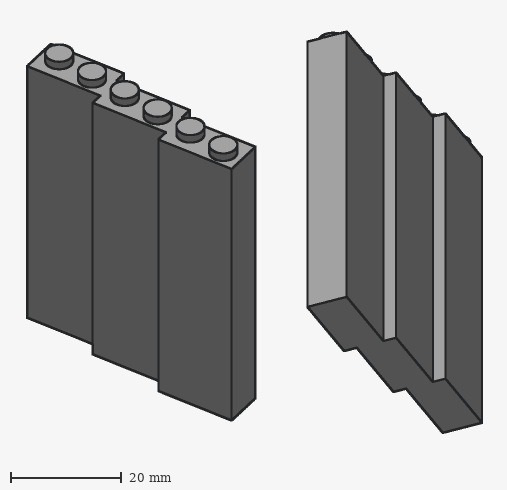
import cadquery as cq

total_height = 59.3
stud_height = 1.7
body_height = total_height - stud_height

block_count = 3
block_length = 15.85
block_thickness = 7.8
block_angle = 9.0
stud_pitch = 8.0
studs_per_block = 2
block_pitch = studs_per_block * stud_pitch

stud_diameter = 5.1
stud_count = studs_per_block * block_count


def centred_positions(count, pitch):
    """X positions of a row centred on the origin."""
    return [(i - (count - 1) / 2) * pitch for i in range(count)]


def turned_block(x):
    return (
        cq.Workplane("XY")
        .rect(block_length, block_thickness)
        .extrude(body_height)
        .rotate((0, 0, 0), (0, 0, 1), block_angle)
        .translate((x, 0, 0))
    )


body = cq.Workplane("XY")
for x in centred_positions(block_count, block_pitch):
    body = body.union(turned_block(x))

studs = (
    cq.Workplane("XY")
    .workplane(offset=body_height)
    .pushPoints([(x, 0) for x in centred_positions(stud_count, stud_pitch)])
    .circle(stud_diameter / 2)
    .extrude(stud_height)
)

result = body.union(studs)